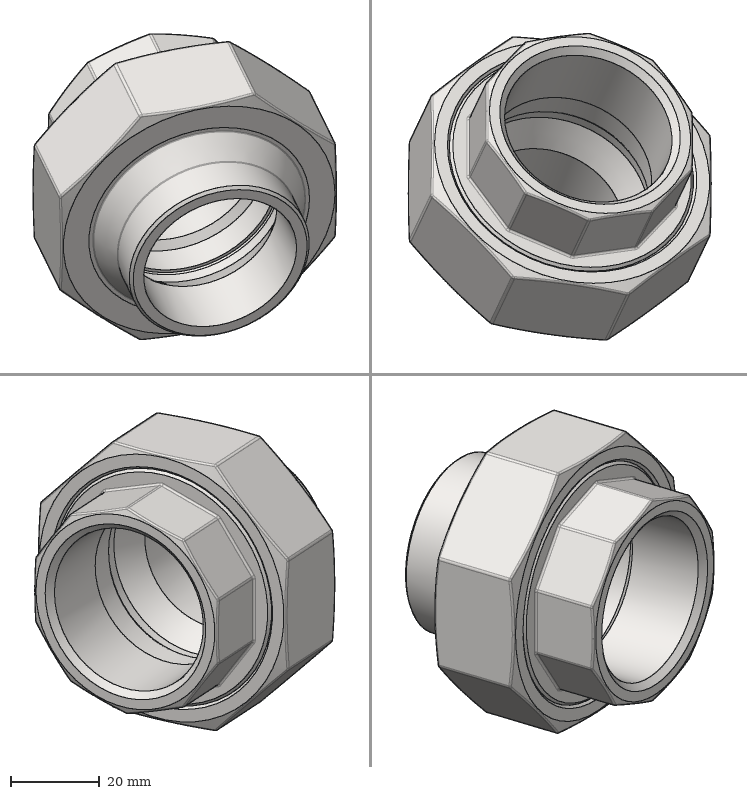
import cadquery as cq
import math

total_length = 54.0
corner_fillet = 1.0
chamfer_angle = 20.0
chamfer_round = 0.5
bore_diameter = 36.0
plane_tolerance = 0.01

nut_sides = 8
nut_across_flats = 65.0
nut_start = 16.0
nut_length = 22.0
nut_end = nut_start + nut_length
nut_face_diameter = 64.0
nut_mouth_diameter = 58.0
nut_tail_bore = 52.0

head_sides = 10
head_across_flats = 48.0
head_face_diameter = 46.8
head_root_fillet = 0.5
collar_face_diameter = 55.5
collar_chamfer = 0.65
collar_radius = collar_face_diameter / 2 + collar_chamfer
countersink_diameter = 42.0
thread_bore_diameter = 38.95
thread_end = 19.5
relief_diameter = 42.5

seal_start = 28.4
seal_thickness = 0.8
seal_end = seal_start + seal_thickness
seal_bore = 44.0

flange_end = 32.0
recess_end = flange_end
inner_cone_angle = 30.0
outer_cone_angle = 30.0
pipe_diameter = 42.4
pipe_start = 44.5
pipe_end_chamfer = 0.7
pipe_cone_blend = 0.5
cone_shoulder_blend = 0.2


def revolve_about_x(points):
    """Solid of revolution about X from a closed outline of (x, radius) points."""
    return cq.Workplane("XY").polyline(points).close().revolve(360, (0, 0, 0), (1, 0, 0))


def prism(sides, across_flats, start, length):
    """Polygonal bar along X with two flats facing +Y and -Y and rounded long edges."""
    corner_diameter = across_flats / math.cos(math.pi / sides)
    bar = (
        cq.Workplane("YZ", origin=(start, 0, 0))
        .transformed(rotate=(0, 0, 180 / sides))
        .polygon(sides, corner_diameter)
        .extrude(length)
    )
    return bar.edges("|X").fillet(corner_fillet)


def chamfer_reach(face_diameter, across_flats):
    """A radius well beyond the corners, and the length along X over which the chamfer rises to it."""
    outer_radius = across_flats
    run = (outer_radius - face_diameter / 2) * math.tan(math.radians(chamfer_angle))
    return outer_radius, run


def round_chamfer_edges(body):
    """Blend the curved edges where an end chamfer cuts the flats."""
    return body.edges("%HYPERBOLA").fillet(chamfer_round)


def edges_inside(body, x, radius):
    """Edges that lie in the plane at x and stop short of the given radius in +Y."""

    def is_inside(edge):
        box = edge.BoundingBox()
        in_plane = abs(box.xmin - x) < plane_tolerance and abs(box.xmax - x) < plane_tolerance
        return in_plane and box.ymax < radius - plane_tolerance

    return body.edges().filter(is_inside)


def make_nut():
    outer_radius, run = chamfer_reach(nut_face_diameter, nut_across_flats)
    face_radius = nut_face_diameter / 2
    envelope = revolve_about_x([
        (nut_start, 0),
        (nut_start, face_radius),
        (nut_start + run, outer_radius),
        (nut_end - run, outer_radius),
        (nut_end, face_radius),
        (nut_end, 0),
    ])
    mouth_radius = nut_mouth_diameter / 2
    tail_bore_radius = nut_tail_bore / 2
    cavity = revolve_about_x([
        (nut_start, 0),
        (nut_start, mouth_radius),
        (nut_start + mouth_radius - collar_radius, collar_radius),
        (flange_end, collar_radius),
        (flange_end, tail_bore_radius),
        (nut_end, tail_bore_radius),
        (nut_end, 0),
    ])
    bar = prism(nut_sides, nut_across_flats, nut_start, nut_length)
    return round_chamfer_edges(bar.intersect(envelope)).cut(cavity)


def make_head():
    """Decagonal head, chamfered at the inlet face only."""
    outer_radius, run = chamfer_reach(head_face_diameter, head_across_flats)
    envelope = revolve_about_x([
        (0, 0),
        (0, head_face_diameter / 2),
        (run, outer_radius),
        (nut_start, outer_radius),
        (nut_start, 0),
    ])
    bar = prism(head_sides, head_across_flats, 0, nut_start)
    return round_chamfer_edges(bar.intersect(envelope))


def make_threaded_end():
    collar = revolve_about_x([
        (nut_start, 0),
        (nut_start, collar_face_diameter / 2),
        (nut_start + collar_chamfer, collar_radius),
        (seal_start, collar_radius),
        (seal_start, 0),
    ])
    body = make_head().union(collar)

    body = edges_inside(body, nut_start, collar_face_diameter / 2).fillet(head_root_fillet)

    countersink_radius = countersink_diameter / 2
    thread_radius = thread_bore_diameter / 2
    relief_radius = relief_diameter / 2
    bore = revolve_about_x([
        (0, 0),
        (0, countersink_radius),
        (countersink_radius - thread_radius, thread_radius),
        (thread_end, thread_radius),
        (thread_end + relief_radius - thread_radius, relief_radius),
        (seal_start, relief_radius),
        (seal_start, 0),
    ])
    return body.cut(bore)


def make_seal():
    return revolve_about_x([
        (seal_start, seal_bore / 2),
        (seal_start, collar_radius),
        (seal_end, collar_radius),
        (seal_end, seal_bore / 2),
    ])


def make_tail():
    bore_radius = bore_diameter / 2
    recess_radius = seal_bore / 2
    neck_radius = nut_tail_bore / 2
    pipe_radius = pipe_diameter / 2
    inner_cone_end = recess_end + (recess_radius - bore_radius) / math.tan(math.radians(inner_cone_angle))
    cone_radius = pipe_radius + (pipe_start - nut_end) * math.tan(math.radians(outer_cone_angle))
    body = revolve_about_x([
        (seal_end, recess_radius),
        (seal_end, collar_radius),
        (flange_end, collar_radius),
        (flange_end, neck_radius),
        (nut_end, neck_radius),
        (nut_end, cone_radius),
        (pipe_start, pipe_radius),
        (total_length - pipe_end_chamfer, pipe_radius),
        (total_length, pipe_radius - pipe_end_chamfer),
        (total_length, bore_radius),
        (inner_cone_end, bore_radius),
        (recess_end, recess_radius),
    ])
    body = edges_inside(body, pipe_start, neck_radius).fillet(pipe_cone_blend)
    return edges_inside(body, nut_end, neck_radius).fillet(cone_shoulder_blend)


nut = make_nut()
threaded_end = make_threaded_end()
seal = make_seal()
tail = make_tail()

result = cq.Compound.makeCompound([nut.val(), threaded_end.val(), seal.val(), tail.val()])